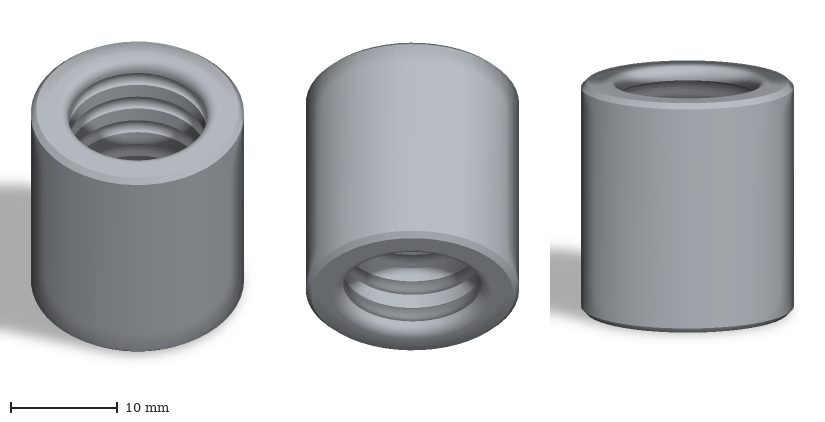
import cadquery as cq

length = 22.0
outer_diameter = 20.0
bore_diameter = 13.0
rim_chamfer = 0.5
mouth_radius = 1.0

groove_count = 7
groove_pitch = 3.0
groove_width = 1.5

bore_radius = bore_diameter / 2
groove_radius = groove_width / 2
first_groove_z = (length - (groove_count - 1) * groove_pitch) / 2


def make_sleeve():
    """Plain tube with chamfered outer rims and rounded bore mouths."""
    body = cq.Workplane("XY").circle(outer_diameter / 2).extrude(length)
    body = body.faces("<Z or >Z").chamfer(rim_chamfer)
    body = body.faces(">Z").workplane().hole(bore_diameter)
    mouth_edges = cq.selectors.RadiusNthSelector(0)
    return body.edges("%CIRCLE").edges(mouth_edges).fillet(mouth_radius)


def make_groove(center_z):
    """Torus whose outer half cuts one groove into the bore wall."""
    return (
        cq.Workplane("XZ")
        .center(bore_radius, center_z)
        .circle(groove_radius)
        .revolve(360, (-bore_radius, 0), (-bore_radius, 1))
    )


result = make_sleeve()
for index in range(groove_count):
    result = result.cut(make_groove(first_groove_z + index * groove_pitch))